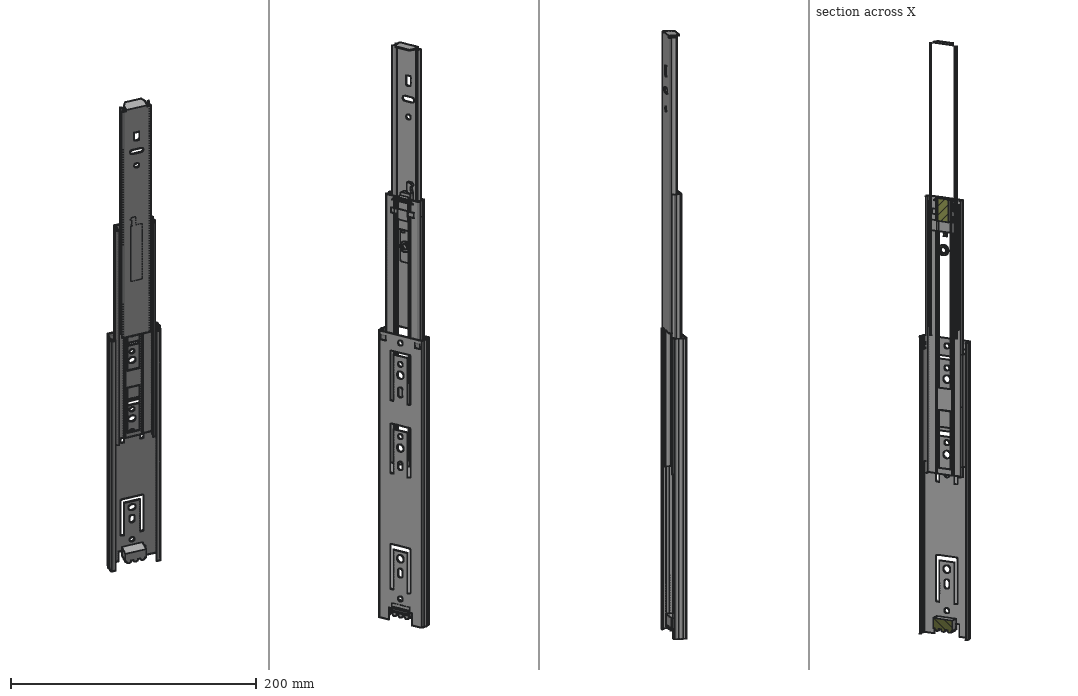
import cadquery as cq


overall_width = 45.0
overall_depth = 12.5
overall_length = 500.0
gap = 0.25
sheet = 1.0
race_offset = 0.75

outer_sheet = 1.0
outer_depth = 11.0
bulge_height = 0.75
outer_half = overall_width / 2 - bulge_height
outer_length = 250.0
outer_corner = 1.5
cutout_corner = 1.25
outer_mouth_half = 17.5
outer_race_x = outer_sheet + 4.25
bulge_radius = 2.4

mid_bottom = 136.0
mid_top = 369.0
mid_front = 3.0
mid_half = 17.0
mid_corner = 1.5
mid_mouth_half = 14.5
mid_race_x = mid_front + 3.25
mid_race_radius = 1.75
recess_depth = 0.75
recess_floor_half = 7.0
recess_rim_half = 8.5
lower_window = (141.0, 190.0)
upper_window_bottom = 208.5
mid_web_back = mid_front + sheet
recess_back = mid_web_back + recess_depth

inner_bottom = 252.5
inner_half = 12.5
inner_race_x = 9.0
inner_race_radius = 2.25
inner_corner = 1.0
end_clearance = 1.5
lip_front = 3.0
lip_tip_half = 7.0
lip_root_half = 9.0
lip_shoulder = 6.5
web_face = overall_depth - sheet
keyway_span = (464.0, 473.0)
cross_slot_height = 452.5
cross_slot_length = 11.5
inner_hole_height = 437.0

hole_diameter = 4.5
large_hole_diameter = 6.5
slot_width = 4.5

tongues = [(235.0, 3.0, 191.5), (171.5, 4.5, 128.0), (66.5, 4.5, 27.0)]
tongue_half = 7.0
tongue_slot_half = 10.0
small_hole_heights = [243.5, 225.0, 162.0, 20.5]
large_hole_heights = [215.5, 152.0, 55.5]
upright_slots = [(200.5, 9.0), (136.5, 7.5), (43.0, 8.0)]

stop_inner_y = 14.5
stop_outer_y = 19.5
stop_bottom = 242.5
stop_height = 4.5
stop_depth = 0.75

notch_half = 11.5
notch_height = 10.5
notch_step_half = 8.0
notch_step = 1.5

cage_wall = 1.0
outer_cage_half = 19.0
outer_cage_back = 8.0
outer_cage_span = (145.0, 240.0)
outer_cage_bridge = (175.0, 189.0)
inner_cage_half = 14.0
inner_cage_web = 0.5
inner_cage_back = 9.5
inner_cage_span = (260.0, 365.0)
inner_cage_bridge = (340.5, 349.5)
inner_cage_front = recess_back + gap
inner_front = inner_cage_front + inner_cage_web + gap

bumper_half = 9.0
bumper_bottom = 6.0
bumper_top = 15.0
bumper_back = 10.0
bumper_nose_front = 0.5
bumper_groove_bottom = 7.5
bumper_groove_height = 1.0
tooth_radius = 2.0
tooth_pitch = 6.0

latch_half = 5.0
window_half = latch_half + gap
latch_bottom = 311.5
latch_top = 372.0
latch_corner = 1.5
latch_plate_front = 7.5
latch_core_bottom = inner_cage_bridge[1]
latch_face = (mid_front, mid_web_back)
head_base = 365.5
head_base_half = 10.5
head_tip_half = 7.0
head_groove = (367.0, 368.0)
latch_step = 0.5
wing_half = 11.5
wing_span = (354.0, 358.5)
boss_height = 325.5
boss_radius = 4.5
boss_hole_radius = 2.5
boss_front = 6.0
lug_front = 6.5
lug_sides = (0.5, 3.5)
lug_span = (337.5, inner_cage_bridge[0])
hook_front = 9.0
hook_points = [
    (-0.5, latch_top), (-0.5, 381.0), (-4.0, 381.0), (-5.5, 379.0),
    (-4.0, 377.5), (-4.0, 375.0), (-latch_half, latch_top),
]


def block(x_range, y_range, z_range):
    """Box given by its limits on each axis."""
    (x0, x1), (y0, y1), (z0, z1) = x_range, y_range, z_range
    return cq.Workplane("XY").box(x1 - x0, y1 - y0, z1 - z0, centered=False).translate((x0, y0, z0))


def bar(x_range, half_width, z_range):
    """Box centred across the width."""
    return block(x_range, (-half_width, half_width), z_range)


def race_rods(x, y, radius, z_range):
    """Two rods along Z, mirrored across the width."""
    bottom, top = z_range
    rods = cq.Workplane("XY", origin=(0, 0, bottom)).pushPoints([(x, -y), (x, y)])
    return rods.circle(radius).extrude(top - bottom)


def plate(points, x_range):
    """Flat plate with a Y-Z outline, spanning the given X range."""
    front, back = x_range
    return cq.Workplane("YZ", origin=(front, 0, 0)).polyline(points).close().extrude(back - front)


def rod(height, diameter, x_range):
    """Cylinder along X on the centre plane."""
    front, back = x_range
    section = cq.Workplane("YZ", origin=(front, 0, 0)).center(0, height)
    return section.circle(diameter / 2).extrude(back - front)


def slot_rod(height, length, angle, x_range):
    """Round-ended bar along X on the centre plane."""
    front, back = x_range
    section = cq.Workplane("YZ", origin=(front, 0, 0)).center(0, height)
    return section.slot2D(length, slot_width, angle).extrude(back - front)


def outer_channel():
    span = (0, outer_length)
    race_y = overall_width / 2 - bulge_radius
    shell = bar((0, outer_depth), outer_half, span).edges("|Z").fillet(outer_corner)
    shell = shell.union(race_rods(outer_race_x, race_y, bulge_radius, span))
    cavity = bar((outer_sheet, outer_depth - outer_sheet), outer_half - outer_sheet, span)
    groove = race_rods(outer_race_x, race_y, bulge_radius - outer_sheet, span)
    mouth = bar((outer_sheet, outer_depth), outer_mouth_half, span)
    return shell.cut(cavity).cut(groove).cut(mouth)


def tongue_cutter(top, top_gap, bottom):
    """U-shaped slot that leaves a tongue joined at its lower end."""
    web = (0, outer_sheet)
    opening = bar(web, tongue_slot_half, (bottom, top)).edges("|X").fillet(cutout_corner)
    return opening.cut(bar(web, tongue_half, (bottom, top - top_gap)))


def stop_recess(side):
    """Recess that deepens downward to a square ledge."""
    profile = [(0, stop_bottom), (stop_depth, stop_bottom), (0, stop_bottom + stop_height)]
    wedge = cq.Workplane("XZ", origin=(0, stop_outer_y, 0)).polyline(profile).close()
    wedge = wedge.extrude(stop_outer_y - stop_inner_y)
    return wedge if side > 0 else wedge.mirror("XZ")


def outer_rail():
    web = (0, outer_sheet)
    rail = outer_channel()
    for top, top_gap, bottom in tongues:
        rail = rail.cut(tongue_cutter(top, top_gap, bottom))
    for height in small_hole_heights:
        rail = rail.cut(rod(height, hole_diameter, web))
    for height in large_hole_heights:
        rail = rail.cut(rod(height, large_hole_diameter, web))
    for height, length in upright_slots:
        rail = rail.cut(slot_rod(height, length, 90, web))
    for side in (-1, 1):
        rail = rail.cut(stop_recess(side))
    rail = rail.cut(bar(web, notch_half, (0, notch_height)))
    return rail.cut(bar(web, notch_step_half, (0, notch_height + notch_step)))


def recess(front, span):
    """Trapezoidal recess sunk toward +X from the plane at `front`."""
    bottom, top = span
    outline = [
        (front, -recess_rim_half), (front + recess_depth, -recess_floor_half),
        (front + recess_depth, recess_floor_half), (front, recess_rim_half),
    ]
    return cq.Workplane("XY", origin=(0, 0, bottom)).polyline(outline).close().extrude(top - bottom)


def middle_rail():
    span = (mid_bottom, mid_top)
    race_y = mid_half + race_offset
    shell = bar((mid_front, outer_depth), mid_half, span).edges("|Z").fillet(mid_corner)
    shell = shell.cut(race_rods(mid_race_x, race_y, mid_race_radius, span))
    cavity = bar((mid_web_back, outer_depth - sheet), mid_half - sheet, span)
    cavity = cavity.edges("|Z").fillet(mid_corner - sheet)
    cavity = cavity.cut(race_rods(mid_race_x, race_y, mid_race_radius + sheet, span))
    mouth = bar((mid_web_back + mid_corner, outer_depth), mid_mouth_half, span)
    rail = shell.cut(cavity).cut(mouth)
    rail = rail.union(recess(mid_web_back, span)).cut(recess(mid_front, span))
    for window in (lower_window, (upper_window_bottom, mid_top)):
        rail = rail.cut(bar((mid_front, recess_back), window_half, window))
    return rail.cut(latch_head()).cut(latch_wings())


def end_lip():
    """End of the web folded over the open side of the rail."""
    outline = [
        (overall_depth, -lip_root_half), (lip_shoulder, -lip_root_half), (lip_front, -lip_tip_half),
        (lip_front, lip_tip_half), (lip_shoulder, lip_root_half), (overall_depth, lip_root_half),
    ]
    lip = cq.Workplane("XY", origin=(0, 0, overall_length - sheet)).polyline(outline).close().extrude(sheet)
    neck_base = overall_length - sheet - end_clearance
    return lip.union(bar((web_face, overall_depth), lip_root_half, (neck_base, overall_length)))


def inner_rail():
    span = (inner_bottom, overall_length - end_clearance)
    web = (web_face, overall_depth)
    race_y = inner_half + race_offset
    rail = bar((inner_front, overall_depth), inner_half, span).edges("|Z and >X").fillet(inner_corner)
    rail = rail.cut(race_rods(inner_race_x, race_y, inner_race_radius, span))
    cavity = bar((inner_front, web_face), inner_half, span)
    cavity = cavity.cut(race_rods(inner_race_x, race_y, inner_race_radius + sheet, span))
    rail = rail.cut(cavity).union(end_lip())
    rail = rail.cut(inner_keyway(web))
    rail = rail.cut(slot_rod(cross_slot_height, cross_slot_length, 0, web))
    return rail.cut(rod(inner_hole_height, hole_diameter, web))


def inner_keyway(web):
    """Upright hole with a square top and rounded lower corners."""
    keyway = bar(web, slot_width / 2, keyway_span)
    return keyway.edges("|X and <Z").fillet(slot_width / 3)


def cage(front, back, half, web, span, bridge):
    """Two side strips joined by one bridge across the web."""
    body = bar((front, front + web), half, bridge)
    for side in (-1, 1):
        edges = sorted((side * (half - cage_wall), side * half))
        body = body.union(block((front, back), edges, span))
    return body


def bumper():
    body = bar((outer_sheet, bumper_back), bumper_half, (bumper_bottom, bumper_top))
    nose = (bumper_nose_front, bumper_back)
    body = body.union(bar(nose, bumper_half, (bumper_bottom, notch_height)))
    for step in (-1, 0, 1):
        tooth = cq.Workplane("YZ", origin=(nose[0], 0, 0)).center(step * tooth_pitch, bumper_bottom)
        body = body.union(tooth.circle(tooth_radius).extrude(nose[1] - nose[0]))
    groove_top = bumper_groove_bottom + bumper_groove_height
    return body.cut(bar((bumper_nose_front, outer_sheet), bumper_half, (bumper_groove_bottom, groove_top)))


def latch_head():
    """Tapered head set into the top of the middle web."""
    outline = [
        (-head_base_half, head_base), (-head_tip_half, mid_top),
        (head_tip_half, mid_top), (head_base_half, head_base),
    ]
    return plate(outline, latch_face)


def latch_wings():
    """Crossbar that locks into the middle web."""
    return bar(latch_face, wing_half, wing_span)


def latch():
    body = bar((latch_plate_front, web_face), latch_half, (latch_bottom, latch_top))
    body = body.edges("|X").fillet(latch_corner)
    body = body.union(bar((mid_web_back, web_face), latch_half, (latch_core_bottom, mid_top)))
    body = body.union(latch_head()).union(latch_wings())
    step_face = mid_front + latch_step
    body = body.cut(bar((mid_front, step_face), head_base_half, head_groove))
    body = body.cut(bar((mid_front, step_face), latch_half, wing_span))
    body = body.union(bar((step_face, web_face), latch_half, (latch_core_bottom, wing_span[1])))
    body = body.union(plate(hook_points, (hook_front, web_face)))
    body = body.union(block((lug_front, latch_plate_front), lug_sides, lug_span))
    boss = (boss_front, latch_plate_front)
    body = body.union(rod(boss_height, 2 * boss_radius, boss))
    return body.cut(rod(boss_height, 2 * boss_hole_radius, boss))


outer_cage = cage(
    outer_sheet + gap, outer_cage_back, outer_cage_half, cage_wall, outer_cage_span, outer_cage_bridge
)
inner_cage = cage(
    inner_cage_front, inner_cage_back, inner_cage_half, inner_cage_web, inner_cage_span, inner_cage_bridge
)

bodies = [outer_rail(), middle_rail(), inner_rail(), outer_cage, inner_cage, bumper(), latch()]
result = cq.Compound.makeCompound([body.solids().val() for body in bodies])